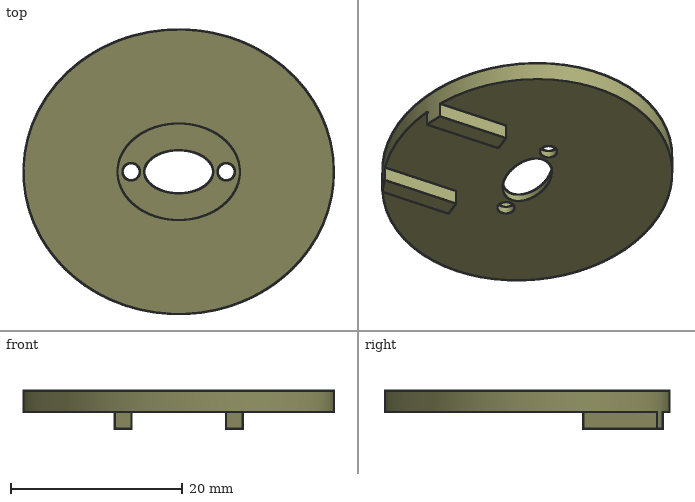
import cadquery as cq

plate_length = 36.25
plate_width = 33.25
plate_thickness = 2.5

recess_length = 14.3
recess_width = 11.27
recess_depth = 1.5

window_length = 8.0
window_width = 5.0
pin_hole_diameter = 2.0
pin_hole_offset = 5.55

rib_width = 2.0
rib_height = 1.95
rib_offset = 6.5
rib_start_y = 6.52


def elliptical_disc(length, width, bottom_z, height):
    """Upright elliptical cylinder centred on the Z axis."""
    return (
        cq.Workplane("XY", origin=(0, 0, bottom_z))
        .ellipse(length / 2, width / 2)
        .extrude(height)
    )


def rib(center_x):
    """Straight rib below the plate, trimmed to the plate outline."""
    rib_run = plate_width / 2 - rib_start_y
    bar = cq.Workplane("XY").box(rib_width, rib_run, rib_height, centered=(True, False, False))
    bar = bar.translate((center_x, rib_start_y, -rib_height))
    return bar.intersect(elliptical_disc(plate_length, plate_width, -rib_height, rib_height))


result = elliptical_disc(plate_length, plate_width, 0, plate_thickness)

recess_floor_z = plate_thickness - recess_depth
result = result.cut(elliptical_disc(recess_length, recess_width, recess_floor_z, recess_depth))
result = result.cut(elliptical_disc(window_length, window_width, 0, plate_thickness))

for side in (-1, 1):
    pin_hole = elliptical_disc(pin_hole_diameter, pin_hole_diameter, 0, plate_thickness)
    result = result.cut(pin_hole.translate((side * pin_hole_offset, 0, 0)))
    result = result.union(rib(side * rib_offset))